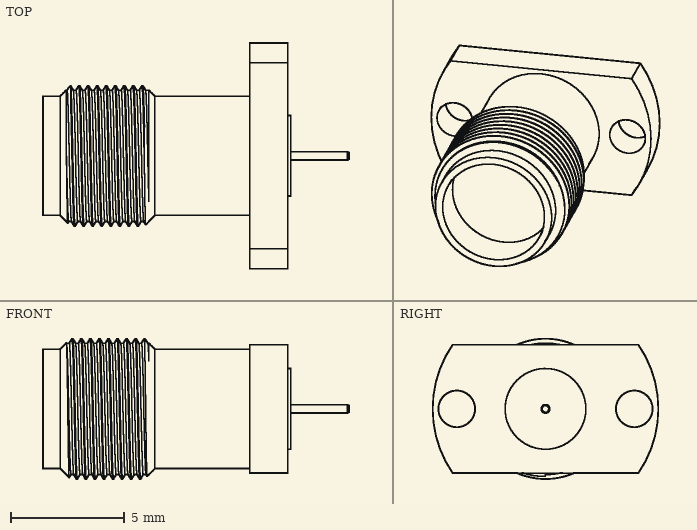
import cadquery as cq

front_cone_start = 0.75
rear_cone_end = 4.94
flange_front = 9.1
flange_thickness = 1.69
flange_back = flange_front + flange_thickness
boss_height = 0.13
boss_back = flange_back + boss_height
overall_length = 13.49

barrel_radius = 2.63
bore_radius = 2.31
bore_depth = 1.89

thread_root_radius = 2.9
thread_crest_diameter = 6.19
thread_crest_radius = thread_crest_diameter / 2
thread_turns = 10
thread_start = 0.7
thread_length = 3.98
thread_pitch = thread_length / thread_turns
tooth_base_width = 0.32
tooth_crest_width = 0.04
tooth_embed = 0.04
trim_clearance = 0.04

flange_radius = 4.98
flange_height = 5.65
mount_hole_diameter = 1.6
mount_hole_spacing = 7.82

boss_radius = 1.78
pin_radius = 0.19
pin_chamfer = 0.04


def disc(x_start, x_end, radius):
    """Cylinder about the X axis between two stations."""
    return cq.Workplane("YZ", origin=(x_start, 0, 0)).circle(radius).extrude(x_end - x_start)


def coned_envelope(radius):
    """Solid of the given radius that slopes to the barrel at 45 degrees at both ends."""
    rise = radius - barrel_radius
    return (
        cq.Workplane("XY")
        .moveTo(front_cone_start, 0)
        .lineTo(front_cone_start, barrel_radius)
        .lineTo(front_cone_start + rise, radius)
        .lineTo(rear_cone_end - rise, radius)
        .lineTo(rear_cone_end, barrel_radius)
        .lineTo(rear_cone_end, 0)
        .close()
        .revolve(360, (0, 0, 0), (1, 0, 0))
    )


def thread_ridge():
    """Right-handed ridge, swept about Z and then turned onto the X axis."""
    inner_radius = thread_root_radius - tooth_embed
    base_half = tooth_base_width / 2
    crest_half = tooth_crest_width / 2
    helix = cq.Wire.makeHelix(thread_pitch, thread_length, thread_root_radius)
    ridge = (
        cq.Workplane("XZ")
        .moveTo(inner_radius, -base_half)
        .lineTo(thread_crest_radius, -crest_half)
        .lineTo(thread_crest_radius, crest_half)
        .lineTo(inner_radius, base_half)
        .close()
        .sweep(cq.Workplane(obj=helix), isFrenet=True)
    )
    return ridge.rotate((0, 0, 0), (0, 1, 0), 90).translate((thread_start, 0, 0))


def threaded_collar():
    """Threaded cylinder, trimmed at both ends to the 45 degree slopes."""
    blank = disc(0, flange_front, thread_root_radius)
    return blank.union(thread_ridge()).intersect(coned_envelope(thread_crest_radius + trim_clearance))


def flange():
    """Disc cut to two flats, with a mounting hole on each side."""
    flats = cq.Workplane("YZ", origin=(flange_front, 0, 0)).rect(2 * flange_radius, flange_height)
    holes = (
        cq.Workplane("YZ", origin=(flange_front, 0, 0))
        .pushPoints([(side * mount_hole_spacing / 2, 0) for side in (-1, 1)])
        .circle(mount_hole_diameter / 2)
        .extrude(flange_thickness)
    )
    plate = disc(flange_front, flange_back, flange_radius)
    return plate.intersect(flats.extrude(flange_thickness)).cut(holes)


barrel = disc(0, flange_front, barrel_radius)
boss = disc(flange_back, boss_back, boss_radius)
pin = disc(boss_back, overall_length, pin_radius).faces(">X").chamfer(2 * pin_chamfer, pin_chamfer)
bore = disc(0, bore_depth, bore_radius)

result = threaded_collar().union(barrel).union(flange()).union(boss).union(pin).cut(bore)